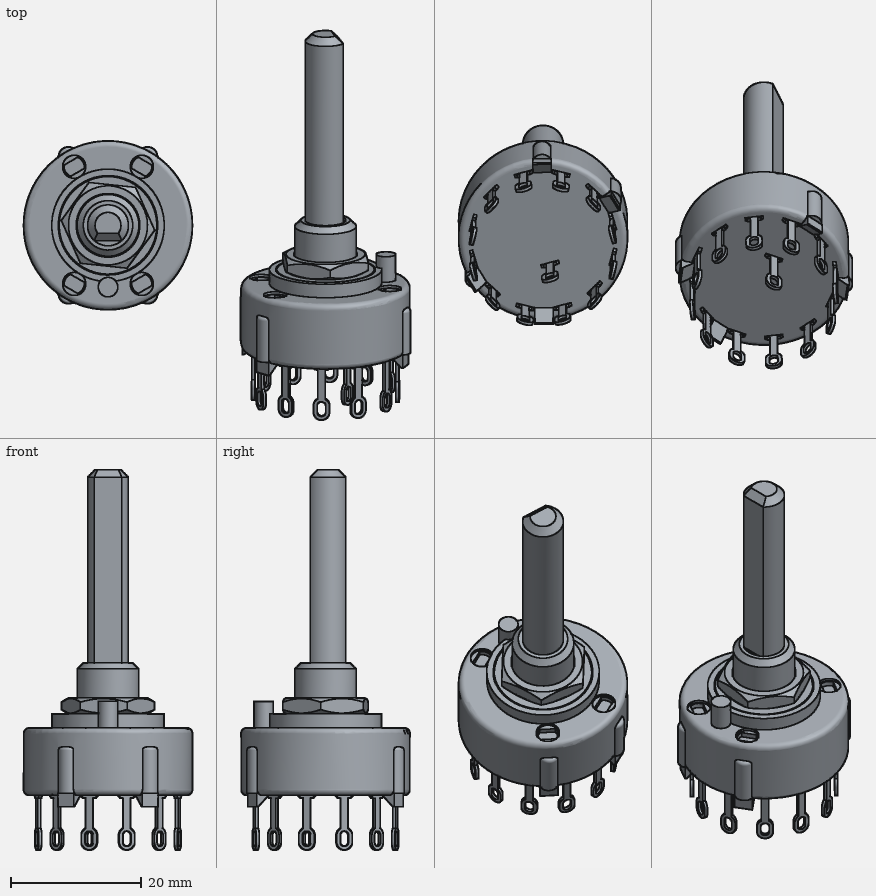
import cadquery as cq
import math


body_diameter = 26.0
body_radius = body_diameter / 2
body_height = 10.4
body_edge_radius = 0.9

collar_diameter = 17.3
collar_height = 2.15
collar_top = body_height + collar_height
groove_inner_diameter = 15.0
groove_outer_diameter = 15.3
groove_depth = 0.5

nut_sides = 6
nut_across_flats = 12.5
nut_height = 2.45
nut_bore_diameter = 9.8
nut_face_diameter = 12.15
nut_chamfer_angle = 30.0
nut_rotation = -6.0

bushing_diameter = 9.5
bushing_top = 20.4
bushing_chamfer = 0.95

shaft_diameter = 6.3
shaft_top = 50.1
shaft_chamfer = 1.15
shaft_flat_distance = 2.35
shaft_flat_bottom = bushing_top - 0.4

peg_diameter = 3.0
peg_distance = 9.5
peg_top = 14.45

clip_angles = (60, 120, 240, 300)
rib_diameter = 3.1
rib_distance = 12.15
rib_bottom = 0.35
rib_top = 7.45
rib_edge_radius = 0.5
foot_width = 2.8
foot_depth = 1.76
foot_length = 2.1
foot_tip_length = 0.25
pocket_distance = 10.4
pocket_diameter = 3.55
pocket_depth = 0.4
pocket_slot_length = 3.1
pocket_slot_width = 2.0
pocket_slot_depth = 1.2

terminal_count = 12
terminal_first_angle = 15
terminal_distance = 11.1
common_distance = 4.0
common_angle = 225
terminal_thickness = 0.5
terminal_bottom = -8.4
stem_width = 1.15
shoulder_width = 2.8
shoulder_height = 0.4
shoulder_bottom_width = 2.0
eye_width = 2.5
eye_height = 3.5
eye_hole_width = 1.3
eye_hole_height = 2.3
embed = 1.0


def cylinder(diameter, bottom, top):
    return cq.Workplane("XY").workplane(offset=bottom).circle(diameter / 2).extrude(top - bottom)


def around_axis(shape, angle):
    return shape.rotate((0, 0, 0), (0, 0, 1), angle)


def make_body():
    body = cylinder(body_diameter, 0, body_height).edges().fillet(body_edge_radius)
    collar = cylinder(collar_diameter, body_height - embed, collar_top)
    groove_bottom = collar_top - groove_depth
    groove = cylinder(groove_outer_diameter, groove_bottom, collar_top).cut(
        cylinder(groove_inner_diameter, groove_bottom, collar_top)
    )
    return body.union(collar).cut(groove)


def make_nut():
    across_corners = nut_across_flats / math.cos(math.pi / nut_sides)
    hexagon = (
        cq.Workplane("XY").workplane(offset=collar_top).polygon(nut_sides, across_corners).extrude(nut_height)
    )
    face_radius = nut_face_diameter / 2
    corner_radius = across_corners / 2
    chamfer_drop = (corner_radius - face_radius) * math.tan(math.radians(nut_chamfer_angle))
    nut_top = collar_top + nut_height
    envelope = (
        cq.Workplane("XZ")
        .moveTo(0, collar_top)
        .lineTo(face_radius, collar_top)
        .lineTo(corner_radius, collar_top + chamfer_drop)
        .lineTo(corner_radius, nut_top - chamfer_drop)
        .lineTo(face_radius, nut_top)
        .lineTo(0, nut_top)
        .close()
        .revolve(360, (0, 0, 0), (0, 1, 0))
    )
    bore = cylinder(nut_bore_diameter, collar_top, nut_top)
    return around_axis(hexagon.intersect(envelope).cut(bore), nut_rotation)


def make_bushing():
    bushing = cylinder(bushing_diameter, collar_top - embed, bushing_top).faces(">Z").chamfer(bushing_chamfer)
    return bushing.cut(cylinder(shaft_diameter, bushing_top - embed, bushing_top))


def make_shaft():
    shaft = cylinder(shaft_diameter, bushing_top - embed, shaft_top).faces(">Z").chamfer(shaft_chamfer)
    flat_cutter = (
        cq.Workplane("YZ")
        .moveTo(-shaft_flat_distance, shaft_flat_bottom)
        .lineTo(-shaft_flat_distance, shaft_top - shaft_chamfer)
        .lineTo(-shaft_flat_distance + shaft_chamfer, shaft_top)
        .lineTo(-shaft_diameter, shaft_top)
        .lineTo(-shaft_diameter, shaft_flat_bottom)
        .close()
        .extrude(shaft_diameter, both=True)
    )
    return shaft.cut(flat_cutter)


def make_peg():
    return cylinder(peg_diameter, body_height - embed, peg_top).translate((0, -peg_distance, 0))


def make_rib():
    rib = cylinder(rib_diameter, rib_bottom, rib_top).faces(">Z").edges().fillet(rib_edge_radius)
    return rib.translate((rib_distance, 0, 0))


def make_foot():
    return (
        cq.Workplane("XZ")
        .moveTo(body_radius, rib_bottom)
        .lineTo(body_radius, -foot_depth)
        .lineTo(body_radius - foot_tip_length, -foot_depth)
        .lineTo(body_radius - foot_length, 0)
        .lineTo(body_radius - foot_length, rib_bottom)
        .close()
        .extrude(foot_width / 2, both=True)
    )


def make_pocket():
    recess = cylinder(pocket_diameter, body_height - pocket_depth, body_height)
    slot = cylinder(pocket_slot_length, body_height - pocket_slot_depth, body_height).intersect(
        cq.Workplane("XY").box(pocket_slot_width, pocket_slot_length, 2 * body_height)
    )
    return recess.union(slot).translate((pocket_distance, 0, 0))


def make_terminal(distance):
    """Flat terminal facing outward, with a tapered shoulder and an oblong eye."""
    eye_center = terminal_bottom + eye_height / 2
    plane = cq.Workplane("YZ")
    stem = plane.center(0, (eye_center + embed) / 2).rect(stem_width, embed - eye_center)
    stem = stem.extrude(terminal_thickness / 2, both=True)
    shoulder = (
        plane.moveTo(-shoulder_width / 2, embed)
        .lineTo(-shoulder_width / 2, 0)
        .lineTo(-shoulder_bottom_width / 2, -shoulder_height)
        .lineTo(shoulder_bottom_width / 2, -shoulder_height)
        .lineTo(shoulder_width / 2, 0)
        .lineTo(shoulder_width / 2, embed)
        .close()
        .extrude(terminal_thickness / 2, both=True)
    )
    eye = plane.center(0, eye_center).slot2D(eye_height, eye_width, 90)
    eye = eye.extrude(terminal_thickness / 2, both=True)
    hole = plane.center(0, eye_center).slot2D(eye_hole_height, eye_hole_width, 90)
    hole = hole.extrude(terminal_thickness, both=True)
    return stem.union(shoulder).union(eye).cut(hole).translate((distance, 0, 0))


result = make_body()
result = result.union(make_nut()).union(make_bushing()).union(make_shaft()).union(make_peg())

for angle in clip_angles:
    result = result.union(around_axis(make_rib(), angle))
    result = result.union(around_axis(make_foot(), angle))
    result = result.cut(around_axis(make_pocket(), angle))

outer_terminal = make_terminal(terminal_distance)
for index in range(terminal_count):
    angle = terminal_first_angle + index * 360 / terminal_count
    result = result.union(around_axis(outer_terminal, angle))
result = result.union(around_axis(make_terminal(common_distance), common_angle))